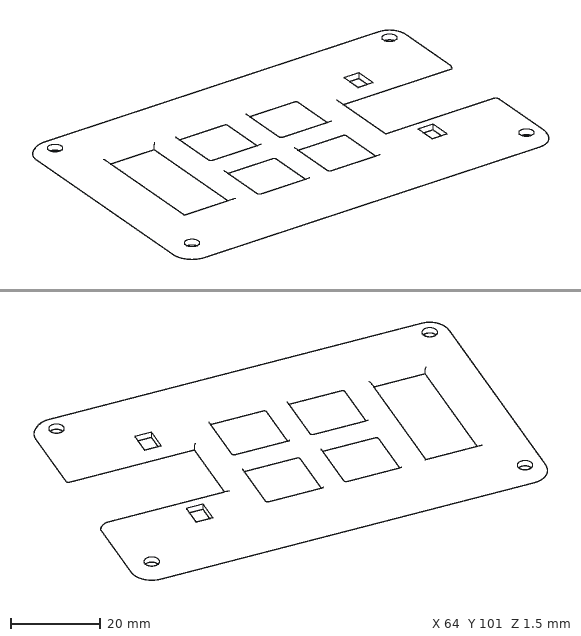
import cadquery as cq
import math

plate_width = 64.0
plate_length = 101.0
plate_thickness = 1.5
corner_radius = 5.0

rim_radius = 2.0
rim_centre_z = plate_thickness - rim_radius
rim_overhang = rim_radius - math.sqrt(rim_radius**2 - rim_centre_z**2)

screw_hole_diameter = 3.4
screw_spacing_x = plate_width - 2 * corner_radius
screw_spacing_y = plate_length - 2 * corner_radius

edge_radius = 0.5

notch_width = 18.5
notch_depth = 31.0

key_size = 13.9
key_corner_radius = 0.5
key_pitch = 19.1
key_group_y = -3.5

slot_width = 5.6
slot_length = 4.0
slot_spacing = 29.2
slot_y = 28.5

display_width = 30.9
display_length = 13.0
display_x = -0.5
display_y = -32.6


def build_plate():
    """Plate with rounded corners and a rounded rim, flat on the underside."""
    block = (
        cq.Workplane("XY", origin=(0, 0, -rim_radius))
        .rect(plate_width + 2 * rim_overhang, plate_length + 2 * rim_overhang)
        .extrude(plate_thickness + rim_radius)
        .edges("|Z").fillet(corner_radius + rim_overhang)
        .faces(">Z").edges().fillet(rim_radius)
    )
    return block.copyWorkplane(cq.Workplane("XY")).split(keepTop=True)


def window_cutter(width, length, centres):
    """Rectangular through-cutters of one size at the given centres."""
    return cq.Workplane("XY").pushPoints(centres).rect(width, length).extrude(plate_thickness)


def round_top_edges(plate, width, length, centre):
    """Round the top-face edges that lie around one rectangular opening."""
    x, y = centre
    margin = edge_radius
    half_x = width / 2 + margin
    half_y = length / 2 + margin
    around_opening = cq.selectors.BoxSelector(
        (x - half_x, y - half_y, plate_thickness - margin),
        (x + half_x, y + half_y, plate_thickness + margin),
    )
    return plate.faces(">Z").edges(around_opening).fillet(edge_radius)


sides = (-1, 1)
key_centres = [
    (i * key_pitch / 2, key_group_y + j * key_pitch / 2)
    for i in sides
    for j in sides
]
slot_centres = [(i * slot_spacing / 2, slot_y) for i in sides]
display_centre = (display_x, display_y)
notch_centre = (0, (plate_length - notch_depth) / 2)

key_cutter = window_cutter(key_size, key_size, key_centres).edges("|Z").fillet(key_corner_radius)
result = (
    build_plate()
    .cut(window_cutter(notch_width, notch_depth, [notch_centre]))
    .cut(key_cutter)
    .cut(window_cutter(display_width, display_length, [display_centre]))
)

result = round_top_edges(result, notch_width, notch_depth, notch_centre)
result = round_top_edges(result, display_width, display_length, display_centre)
for key_centre in key_centres:
    result = round_top_edges(result, key_size, key_size, key_centre)

screw_cutter = (
    cq.Workplane("XY")
    .rect(screw_spacing_x, screw_spacing_y, forConstruction=True)
    .vertices()
    .circle(screw_hole_diameter / 2)
    .extrude(plate_thickness)
)
result = result.cut(window_cutter(slot_width, slot_length, slot_centres)).cut(screw_cutter)